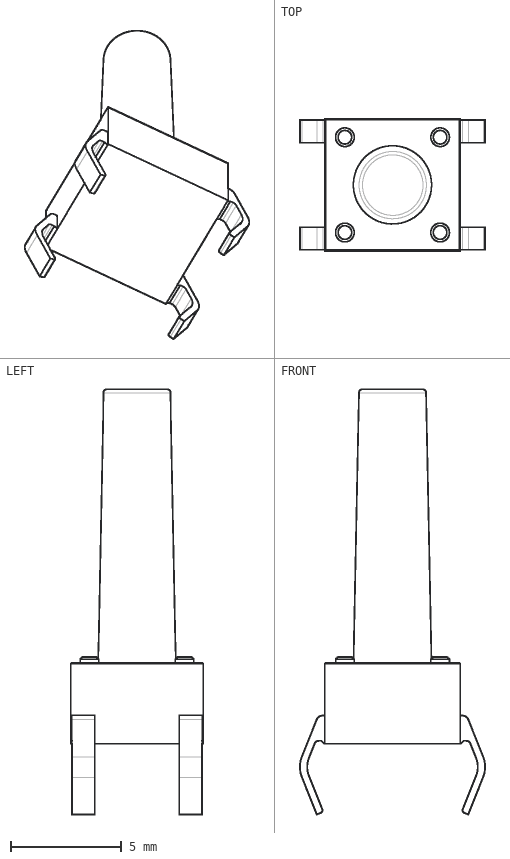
import cadquery as cq
import math

body_length = 6.12
body_width = 5.98
body_bottom = 3.18
body_top = 6.85
top_chamfer = 0.05

overall_height = 19.18
plunger_base_diameter = 3.53
plunger_top_diameter = 3.03
plunger_fillet = 0.15

rivet_diameter = 0.85
rivet_height = 0.27
rivet_chamfer = 0.12
rivet_spacing = 4.3

leg_span = 8.36
leg_width = 1.04
leg_inset = 0.05
leg_thickness = 0.33
leg_lean_degrees = 21.8
knee_height = 2.15
knee_outer_radius = 1.23
knee_inner_radius = 1.1
shoulder_top = 4.47
shoulder_bottom = 3.32
shoulder_radius = 0.29
armpit_radius = 0.17
root_flare = 0.15
tip_radius = 0.13
leg_embed = 0.2

leg_angle = math.radians(leg_lean_degrees)


def make_body():
    height = body_top - body_bottom
    box = cq.Workplane("XY").workplane(offset=body_bottom).rect(body_length, body_width).extrude(height)
    return box.faces(">Z").edges().chamfer(top_chamfer)


def make_plunger():
    profile = (
        cq.Workplane("XZ")
        .moveTo(0, body_top)
        .lineTo(plunger_base_diameter / 2, body_top)
        .lineTo(plunger_top_diameter / 2, overall_height)
        .lineTo(0, overall_height)
        .close()
    )
    plunger = profile.revolve(360, (0, 0, 0), (0, 1, 0))
    return plunger.faces(">Z").edges().fillet(plunger_fillet)


def make_rivets():
    return (
        cq.Workplane("XY")
        .workplane(offset=body_top)
        .rect(rivet_spacing, rivet_spacing, forConstruction=True)
        .vertices()
        .circle(rivet_diameter / 2)
        .extrude(rivet_height)
        .faces(">Z")
        .edges()
        .chamfer(rivet_chamfer)
    )


def make_leg():
    """Leg on the +X, +Y corner: a shoulder, then a strip bent inward at the knee."""
    lean = math.tan(leg_angle)
    outer_knee_x = leg_span / 2 + knee_outer_radius * (1 / math.cos(leg_angle) - 1)
    inner_knee_x = outer_knee_x - leg_thickness / math.cos(leg_angle)

    def outer_point(z):
        return (outer_knee_x - abs(z - knee_height) * lean, z)

    def inner_point(z):
        return (inner_knee_x - abs(z - knee_height) * lean, z)

    wall_x = body_length / 2
    root_x = wall_x - leg_embed
    tip_rise = leg_thickness * math.sin(leg_angle)
    shoulder = outer_point(shoulder_top)
    outer_knee = outer_point(knee_height)
    inner_knee = inner_point(knee_height)
    inner_tip = inner_point(tip_rise)
    armpit = inner_point(shoulder_bottom)
    outline = [
        (root_x, shoulder_top),
        shoulder,
        outer_knee,
        outer_point(0),
        inner_tip,
        inner_knee,
        armpit,
        (wall_x + root_flare, shoulder_bottom),
        (wall_x, body_bottom),
        (root_x, body_bottom),
    ]
    outer_edge_y = body_width / 2 - leg_inset
    leg = cq.Workplane("XZ", origin=(0, outer_edge_y, 0)).polyline(outline).close().extrude(leg_width)

    bends = [
        (shoulder, shoulder_radius),
        (outer_knee, knee_outer_radius),
        (inner_knee, knee_inner_radius),
        (armpit, armpit_radius),
        (inner_tip, tip_radius),
    ]
    for (x, z), radius in bends:
        corner = (x, outer_edge_y - leg_width / 2, z)
        leg = leg.edges("|Y").edges(cq.selectors.NearestToPointSelector(corner)).fillet(radius)
    return leg


result = make_body().union(make_plunger()).union(make_rivets())
right_back_leg = make_leg()
left_back_leg = right_back_leg.mirror("YZ")
for back_leg in (right_back_leg, left_back_leg):
    result = result.union(back_leg).union(back_leg.mirror("XZ"))